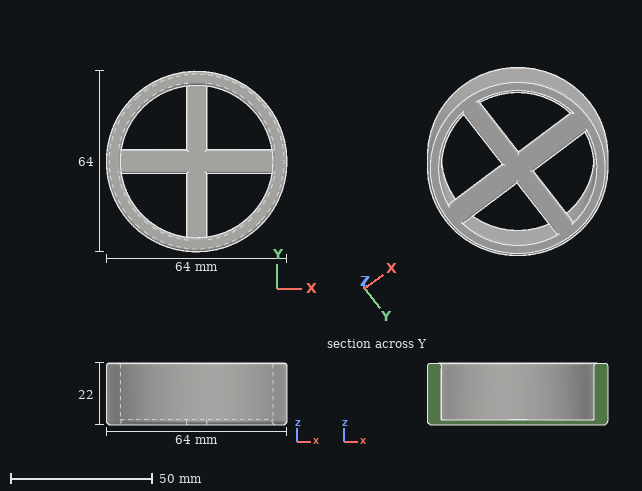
import cadquery as cq

outer_diameter = 64.0
inner_diameter = 54.0
height = 22.0
rim_fillet = 1.0
base_chamfer = 1.0

x_bar_width = 8.5
y_bar_width = 7.2
bar_thickness = 2.0
bar_fillet = 0.8

bar_length = (outer_diameter + inner_diameter) / 2


def make_ring():
    ring = (
        cq.Workplane("XY")
        .circle(outer_diameter / 2)
        .circle(inner_diameter / 2)
        .extrude(height)
    )
    ring = ring.faces("<Z").edges().chamfer(base_chamfer)
    return ring.edges("%CIRCLE exc <Z").fillet(rim_fillet)


def make_cross():
    x_bar = cq.Workplane("XY").rect(bar_length, x_bar_width).extrude(bar_thickness)
    y_bar = cq.Workplane("XY").rect(y_bar_width, bar_length).extrude(bar_thickness)
    cross = x_bar.union(y_bar)
    return cross.faces("<Z or >Z").edges().fillet(bar_fillet)


result = make_ring().union(make_cross())